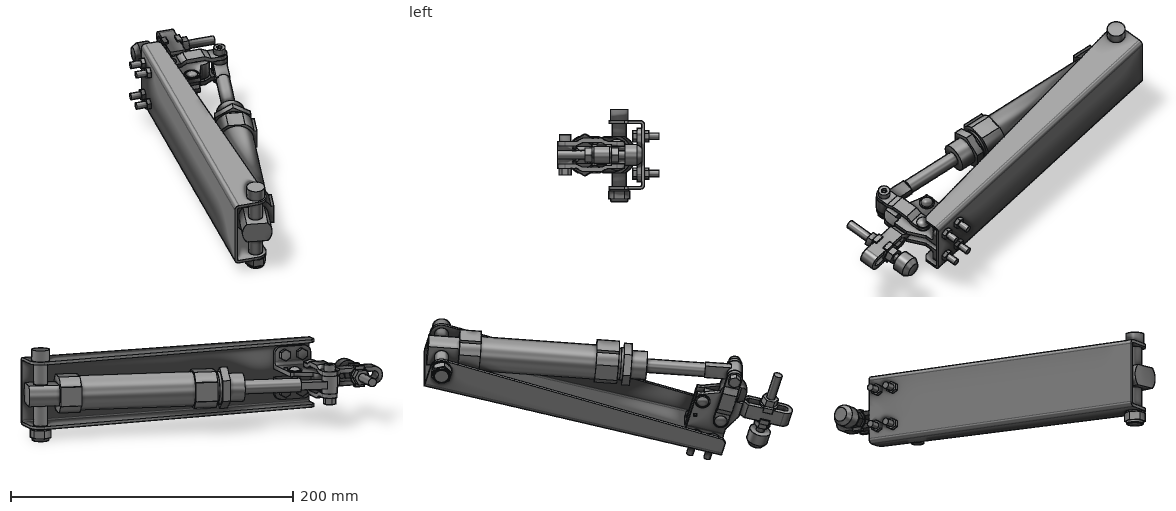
import cadquery as cq
import math


overall_length = 264.5

corners_along_x = 0
corners_across = 90

channel_length = 218.3
channel_half_width = 24.3
sheet = 2.0
bend_radius = 3.2
flange_front_height = 14.3
flange_rear_height = 25.5
flange_front_round = 2.6

bolt_x = 210.3
bolt_y = 18.0
bolt_diameter = 10.0
bolt_head_diameter = 12.7
bolt_top = 32.3
bolt_bottom = -33.3
rear_round = channel_length - bolt_x
nut_flats = 13.0
nut_washer_diameter = 13.8
nut_washer_thickness = 1.0
nut_hex_height = 5.8
nut_collar_diameter = 12.2
nut_collar_chamfer = 0.5

screw_columns = [7.5, 20.0]
screw_z = 13.2
screw_diameter = 4.8
screw_flats = 7.1
screw_head_height = 3.2
screw_nut_height = 3.0
screw_end = -10.3

plate = 3.2
neck_half = 3.0
wall_outer = neck_half + plate
foot_top = sheet + plate
foot_length = 27.3
foot_half_width = 19.0
foot_corner = 5.0
foot_bend = 2.6
wall_nose_x = -6.3
wall_nose_low = 25.0
wall_foot_rise = 12.0
wall_rear_height = 35.5
wall_crest_x = 12.0
wall_crest_height = 40.5
wall_corner = 2.6
pin_hole_x = 23.8
pin_hole_y = 17.7
pin_hole_diameter = 2.6
pin_hole_depth = 1.5
rivet_x = 22.0
rivet_flange_radius = 5.3
rivet_flange_thickness = 0.8
rivet_dome_radius = 4.2
rivet_dome_height = 2.0

arm_middle = 30.5
arm_height = 11.0
arm_half_width = wall_outer
arm_round_x = -36.5
arm_shoulder_x = -10.3
arm_neck_x = -6.5
slot_tip_x = -8.0
neck_end_x = rivet_x
arm_top = arm_middle + arm_height / 2

lug_front = -7.1
lug_rear = 12.0
lug_top = 48.7
lug_corner = 7.0
lug_nose_half = 2.0
lug_notch_end = 6.5
lug_notch_top = 39.0
lug_bevel_end = -1.9

link_x = 5.5
link_radius = 5.3
link_low_y = 19.5
link_high_y = 56.4
link_bow = 2.5
link_bends = [26.0, 30.5, 44.0, 48.7]
link_gap = 0.3
link_inner = wall_outer + link_gap
link_outer = link_inner + plate
link_dome_radius = 4.5
link_dome_height = 1.5
pivot_diameter = 4.2
pivot_head_diameter = 8.2
pivot_head_height = 4.8
pivot_socket_flats = 3.5
pivot_socket_depth = 2.6
pivot_nut_flats = 7.7

spindle_x = -25.0
spindle_diameter = 6.0
spindle_top = 62.0
spindle_nut_flats = 10.0
spindle_nut_height = 5.0
washer_diameter = 13.2
washer_thickness = 1.3
tab_width = 7.0
tab_drop = 2.5
cushion_diameter = 15.0
cushion_tip_diameter = 10.0
cushion_bottom = 1.9
cushion_bevel_top = 5.5
cushion_top = 14.0

rod_start = 21.2
nose_start = 62.7
lock_nut_start = 73.8
lock_nut_end = 79.5
ring_end = 81.2
front_block_start = 83.0
front_block_end = 99.0
rear_block_start = 181.2
rear_block_end = 196.3
rod_diameter = 9.8
tongue_half = 2.6
eye_radius = 5.5
eye_half = link_inner
nose_diameter = 20.0
lock_nut_flats = 25.7
ring_diameter = 23.3
neck_diameter = 22.2
tube_diameter = 24.3
block_diameter = 28.5
block_flat = 13.0
port_pad_top = 14.5
port_pad_half = 7.0
tail_diameter = 21.2
tail_half = 7.5
cylinder_tilt = math.atan2(link_high_y - bolt_y, bolt_x - link_x)
tail_corner_x = overall_length + arm_round_x - arm_half_width
tail_end = (tail_corner_x - link_x - tail_diameter / 2 * math.sin(cylinder_tilt)) / math.cos(cylinder_tilt)


def rod_y(x, z, diameter, low, high):
    """Round bar along Y between two heights."""
    bar = cq.Workplane("XZ", origin=(x, low, z)).circle(diameter / 2)
    return bar.extrude(low - high)


def rod_z(x, y, diameter, low, high):
    """Round bar along Z between two levels."""
    return cq.Workplane(origin=(x, y, low)).circle(diameter / 2).extrude(high - low)


def hexagon(workplane, flats, turn):
    """Hexagon of the given width across flats, turned in its own plane."""
    return workplane.transformed(rotate=(0, 0, turn)).polygon(6, flats / math.cos(math.pi / 6))


def hex_y(x, z, flats, low, high, turn):
    return hexagon(cq.Workplane("XZ", origin=(x, low, z)), flats, turn).extrude(low - high)


def hex_z(x, y, flats, low, high, turn):
    return hexagon(cq.Workplane(origin=(x, y, low)), flats, turn).extrude(high - low)


def block(x_range, y_range, z_range):
    size = [high - low for low, high in (x_range, y_range, z_range)]
    return cq.Workplane("XY").box(*size, centered=False).translate((x_range[0], y_range[0], z_range[0]))


def dome(x, y, z, radius, height):
    """Spherical cap on a face at level z, bulging toward +Z."""
    sphere_radius = (radius**2 + height**2) / (2 * height)
    middle = radius / 2
    middle_height = height - sphere_radius + math.sqrt(sphere_radius**2 - middle**2)
    profile = (
        cq.Workplane("XZ")
        .lineTo(radius, 0)
        .threePointArc((middle, middle_height), (0, height))
        .close()
    )
    return profile.revolve(360, (0, 0, 0), (0, 1, 0)).translate((x, y, z))


def both_sides(half):
    """A +Z half together with its mirror image below the middle plane."""
    return half.union(half.mirror("XY"))


def make_channel():
    blank_height = flange_rear_height + bend_radius
    folded = (
        cq.Workplane("XY")
        .box(channel_length, blank_height, 2 * channel_half_width, centered=(False, False, True))
        .edges("|X and <Y")
        .fillet(bend_radius)
    )
    inside = (
        cq.Workplane("XY")
        .box(channel_length, blank_height, 2 * (channel_half_width - sheet), centered=(False, False, True))
        .edges("|X and <Y")
        .fillet(bend_radius - sheet)
        .translate((0, sheet, 0))
    )
    corner = rear_round * math.cos(math.pi / 4)
    arc_y = flange_rear_height - rear_round
    side = (
        cq.Workplane(origin=(0, 0, -channel_half_width))
        .lineTo(channel_length, 0)
        .lineTo(channel_length, arc_y)
        .threePointArc((bolt_x + corner, arc_y + corner), (bolt_x, flange_rear_height))
        .lineTo(flange_front_round, flange_front_height)
        .lineTo(0, flange_front_height - flange_front_round)
        .close()
        .extrude(2 * channel_half_width)
    )
    channel = folded.cut(inside).intersect(side)
    channel = channel.cut(rod_z(bolt_x, bolt_y, bolt_diameter, -channel_half_width, channel_half_width))
    for x in screw_columns:
        for z in (-screw_z, screw_z):
            channel = channel.cut(rod_y(x, z, screw_diameter, 0, sheet))
    return channel


def make_bolt():
    shank = rod_z(bolt_x, bolt_y, bolt_diameter, bolt_bottom, channel_half_width)
    return shank.union(rod_z(bolt_x, bolt_y, bolt_head_diameter, channel_half_width, bolt_top))


def make_nut():
    washer_low = -channel_half_width - nut_washer_thickness
    hex_low = washer_low - nut_hex_height
    collar = rod_z(bolt_x, bolt_y, nut_collar_diameter, bolt_bottom, hex_low)
    collar = collar.faces("<Z").chamfer(nut_collar_chamfer)
    nut = (
        rod_z(bolt_x, bolt_y, nut_washer_diameter, washer_low, -channel_half_width)
        .union(hex_z(bolt_x, bolt_y, nut_flats, hex_low, washer_low, corners_across))
        .union(collar)
    )
    return nut.cut(rod_z(bolt_x, bolt_y, bolt_diameter, bolt_bottom, -channel_half_width))


def make_screw(x, z):
    return (
        rod_y(x, z, screw_diameter, screw_end, foot_top)
        .union(hex_y(x, z, screw_flats, foot_top, foot_top + screw_head_height, corners_across))
        .union(hex_y(x, z, screw_flats, -screw_nut_height, 0, corners_across))
    )


def make_frame():
    wall = (
        cq.Workplane(origin=(0, 0, neck_half))
        .moveTo(0, sheet)
        .lineTo(foot_length, sheet)
        .lineTo(foot_length, wall_rear_height)
        .lineTo(foot_length - wall_corner, wall_rear_height)
        .lineTo(wall_crest_x, wall_crest_height)
        .lineTo(0, arm_top)
        .lineTo(wall_nose_x, arm_top)
        .lineTo(wall_nose_x, wall_nose_low)
        .lineTo(0, wall_foot_rise)
        .close()
        .extrude(plate)
        .cut(rod_z(pin_hole_x, pin_hole_y, pin_hole_diameter, wall_outer - pin_hole_depth, wall_outer))
    )
    foot = (
        block((0, foot_length), (sheet, foot_top), (neck_half, foot_half_width))
        .edges("|Y and >Z")
        .fillet(foot_corner)
    )
    half = wall.union(foot)
    inner_bend = cq.selectors.NearestToPointSelector((foot_length / 2, foot_top, wall_outer))
    half = half.edges(inner_bend).fillet(foot_bend)
    for x in screw_columns:
        half = half.cut(rod_y(x, screw_z, screw_diameter, sheet, foot_top))
    flange_top = wall_outer + rivet_flange_thickness
    rivet = rod_z(rivet_x, arm_middle, 2 * rivet_flange_radius, wall_outer, flange_top)
    rivet_head = dome(rivet_x, arm_middle, flange_top, rivet_dome_radius, rivet_dome_height)
    return both_sides(half.union(rivet).union(rivet_head))


def make_arm():
    slot_half = arm_half_width - plate
    top = cq.Workplane("XZ", origin=(0, arm_top, 0))
    loop = (
        top.moveTo(arm_round_x, arm_half_width)
        .lineTo(arm_shoulder_x, arm_half_width)
        .lineTo(arm_neck_x, neck_half)
        .lineTo(neck_end_x, neck_half)
        .lineTo(neck_end_x, -neck_half)
        .lineTo(arm_neck_x, -neck_half)
        .lineTo(arm_shoulder_x, -arm_half_width)
        .lineTo(arm_round_x, -arm_half_width)
        .threePointArc((arm_round_x - arm_half_width, 0), (arm_round_x, arm_half_width))
        .close()
        .extrude(arm_height)
    )
    slot = (
        top.moveTo(arm_round_x, slot_half)
        .lineTo(slot_tip_x - slot_half, slot_half)
        .lineTo(slot_tip_x, 0)
        .lineTo(slot_tip_x - slot_half, -slot_half)
        .lineTo(arm_round_x, -slot_half)
        .threePointArc((arm_round_x - slot_half, 0), (arm_round_x, slot_half))
        .close()
        .extrude(arm_height)
    )
    return loop.cut(slot)


def make_lug():
    notch = block((lug_bevel_end, lug_notch_end), (arm_top, lug_notch_top), (-arm_half_width, arm_half_width))
    return (
        cq.Workplane("XZ", origin=(0, arm_middle, 0))
        .moveTo(lug_front, lug_nose_half)
        .lineTo(lug_bevel_end, arm_half_width)
        .lineTo(lug_rear, arm_half_width)
        .lineTo(lug_rear, -arm_half_width)
        .lineTo(lug_bevel_end, -arm_half_width)
        .lineTo(lug_front, -lug_nose_half)
        .close()
        .extrude(arm_middle - lug_top)
        .intersect(
            block((lug_front, lug_rear), (arm_middle, lug_top), (-arm_half_width, arm_half_width))
            .edges("|Z and >Y")
            .fillet(lug_corner)
        )
        .cut(notch)
    )


def make_links():
    low = link_low_y - link_radius
    high = link_high_y + link_radius
    offsets = [0, link_bow, link_bow, 0]
    inner = [(low, link_inner)]
    inner += [(y, link_inner + offset) for y, offset in zip(link_bends, offsets)]
    inner += [(high, link_inner)]
    outer = [(y, z + plate) for y, z in reversed(inner)]
    strip = (
        cq.Workplane("YZ", origin=(link_x - link_radius, 0, 0))
        .polyline(inner + outer)
        .close()
        .extrude(2 * link_radius)
    )
    outline = (
        cq.Workplane("XY")
        .center(link_x, (link_low_y + link_high_y) / 2)
        .slot2D(high - low, 2 * link_radius, 90)
        .extrude(link_outer + link_bow)
    )
    boss = rod_z(link_x, link_low_y, 2 * link_dome_radius, wall_outer, link_inner)
    head = dome(link_x, link_low_y, link_outer, link_dome_radius, link_dome_height)
    return both_sides(strip.intersect(outline).union(boss).union(head))


def make_pivot():
    top = link_outer + pivot_head_height
    socket_floor = top - pivot_socket_depth
    socket = hex_z(link_x, link_high_y, pivot_socket_flats, socket_floor, top, corners_along_x)
    return (
        rod_z(link_x, link_high_y, pivot_diameter, -link_outer, link_outer)
        .union(rod_z(link_x, link_high_y, pivot_head_diameter, link_outer, top))
        .union(hex_z(link_x, link_high_y, pivot_nut_flats, -top, -link_outer, corners_across))
        .cut(socket)
    )


def make_clip():
    """Tab washer and nut on the upper face of the arm."""
    washer_top = arm_top + washer_thickness
    nut_top = washer_top + spindle_nut_height
    tab_outer = arm_half_width + washer_thickness
    tab_sides = (spindle_x - tab_width / 2, spindle_x + tab_width / 2)
    bridge = block(tab_sides, (arm_top, washer_top), (-tab_outer, tab_outer))
    lip = block(tab_sides, (arm_top - tab_drop, arm_top), (arm_half_width, tab_outer))
    return (
        rod_y(spindle_x, 0, washer_diameter, arm_top, washer_top)
        .union(bridge)
        .union(both_sides(lip))
        .union(hex_y(spindle_x, 0, spindle_nut_flats, washer_top, nut_top, corners_along_x))
    )


def make_spindle():
    clip = make_clip()
    cushion = (
        cq.Workplane("XY")
        .moveTo(0, cushion_bottom)
        .lineTo(cushion_tip_diameter / 2, cushion_bottom)
        .lineTo(cushion_diameter / 2, cushion_bevel_top)
        .lineTo(cushion_diameter / 2, cushion_top)
        .lineTo(0, cushion_top)
        .close()
        .revolve(360, (0, 0, 0), (0, 1, 0))
        .translate((spindle_x, 0, 0))
    )
    return (
        rod_y(spindle_x, 0, spindle_diameter, cushion_top, spindle_top)
        .union(cushion)
        .union(clip)
        .union(clip.mirror("XZ", (0, arm_middle, 0)))
    )


def make_clamp():
    clamp = make_frame()
    for piece in (make_arm(), make_lug(), make_links(), make_pivot(), make_spindle()):
        clamp = clamp.union(piece)
    return clamp


def barrel(start, end, diameter):
    return cq.Workplane("YZ", origin=(start, 0, 0)).circle(diameter / 2).extrude(end - start)


def end_block(start, end):
    """Round end cap with flats facing +Z and -Z and a port pad on its upper side."""
    cap = barrel(start, end, block_diameter)
    cap = cap.intersect(block((start, end), (-block_diameter, block_diameter), (-block_flat, block_flat)))
    return cap.union(block((start, end), (0, port_pad_top), (-port_pad_half, port_pad_half)))


def make_cylinder():
    tongue = block((0, rod_start), (-rod_diameter / 2, rod_diameter / 2), (-tongue_half, tongue_half))
    lock_nut = hexagon(cq.Workplane("YZ", origin=(lock_nut_start, 0, 0)), lock_nut_flats, corners_across)
    tail = barrel(rear_block_end, tail_end, tail_diameter).intersect(
        block((rear_block_end, tail_end), (-tail_diameter, tail_diameter), (-tail_half, tail_half))
    )
    cylinder = (
        rod_z(0, 0, 2 * eye_radius, -eye_half, eye_half)
        .union(tongue)
        .union(barrel(rod_start, nose_start, rod_diameter))
        .union(barrel(nose_start, lock_nut_start, nose_diameter))
        .union(lock_nut.extrude(lock_nut_end - lock_nut_start))
        .union(barrel(lock_nut_end, ring_end, ring_diameter))
        .union(barrel(ring_end, front_block_start, neck_diameter))
        .union(end_block(front_block_start, front_block_end))
        .union(barrel(front_block_end, rear_block_start, tube_diameter))
        .union(end_block(rear_block_start, rear_block_end))
        .union(tail)
    )
    tilted = cylinder.rotate((0, 0, 0), (0, 0, 1), -math.degrees(cylinder_tilt))
    placed = tilted.translate((link_x, link_high_y, 0))
    return (
        placed.cut(rod_z(link_x, link_high_y, pivot_diameter, -eye_half, eye_half))
        .cut(rod_z(bolt_x, bolt_y, bolt_diameter, -tail_half, tail_half))
    )


channel = make_channel()
bolt = make_bolt()
nut = make_nut()
screws = [make_screw(x, z) for x in screw_columns for z in (-screw_z, screw_z)]
clamp = make_clamp()
cylinder = make_cylinder()

bodies = [channel, bolt, nut, clamp, cylinder, *screws]
result = cq.Compound.makeCompound([body.solids().val() for body in bodies])